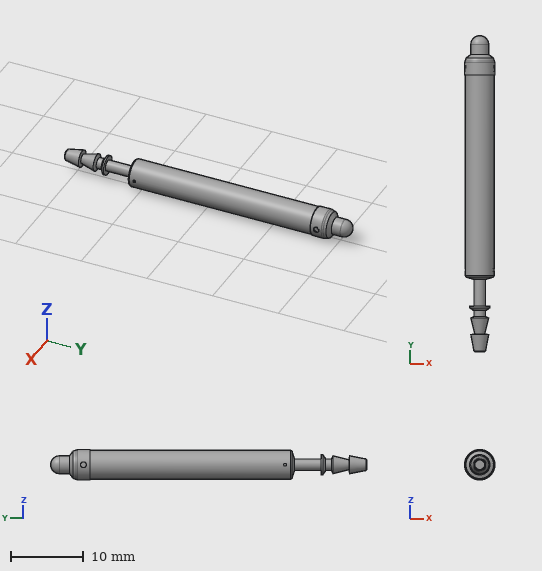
import cadquery as cq
import math

total_length = 43.5

plunger_radius = 1.25
plunger_exposed_length = 2.6

collar_radius = 2.1
steep_cone_radius = 1.9
steep_cone_end = 3.1
shallow_cone_radius = 2.02
shallow_cone_end = 3.47
collar_start = 3.73
collar_end = 5.43

barrel_radius = 2.0
barrel_cylinder_end = 33.0
barrel_chamfer_radius = 1.9
barrel_chamfer_end = 33.2
barrel_end = 33.57

tube_radius = 0.8
flange_radius = 1.4
flange_start = 37.2
flange_rim_width = 0.25
flange_foot_radius = 0.9
flange_length = 0.6

barb_radius = 1.25
barb_root_radius = 0.7
front_barb_lead_start = 38.6
front_barb_start = 38.85
rear_barb_start = 41.1
rear_barb_lead_start = rear_barb_start - 0.1
tail_radius = 0.82
tail_chamfer = 0.15

dimple_depth = 0.2
collar_dimple_diameter = 0.8
collar_dimple_position = 4.52
barrel_dimple_diameter = 0.4
barrel_dimple_position = 32.25


def at(radius, distance_from_tip):
    """Profile point in the XY plane at a radius and a distance behind the tip apex."""
    return (radius, total_length - distance_from_tip)


def make_body():
    dome_middle = math.sqrt(0.5) * plunger_radius
    flange_end = flange_start + flange_length
    profile = (
        cq.Workplane("XY")
        .moveTo(*at(0, 0))
        .threePointArc(
            at(dome_middle, plunger_radius - dome_middle),
            at(plunger_radius, plunger_radius),
        )
        .lineTo(*at(plunger_radius, plunger_exposed_length))
        .lineTo(*at(steep_cone_radius, steep_cone_end))
        .lineTo(*at(shallow_cone_radius, shallow_cone_end))
        .lineTo(*at(collar_radius, collar_start))
        .lineTo(*at(collar_radius, collar_end))
        .lineTo(*at(barrel_radius, collar_end))
        .lineTo(*at(barrel_radius, barrel_cylinder_end))
        .lineTo(*at(barrel_chamfer_radius, barrel_chamfer_end))
        .lineTo(*at(tube_radius, barrel_end))
        .lineTo(*at(tube_radius, flange_start))
        .lineTo(*at(flange_radius, flange_start))
        .lineTo(*at(flange_radius, flange_start + flange_rim_width))
        .lineTo(*at(flange_foot_radius, flange_end))
        .lineTo(*at(tube_radius, flange_end))
        .lineTo(*at(tube_radius, front_barb_lead_start))
        .lineTo(*at(barb_radius, front_barb_start))
        .lineTo(*at(barb_root_radius, rear_barb_lead_start))
        .lineTo(*at(barb_radius, rear_barb_start))
        .lineTo(*at(tail_radius, total_length - tail_chamfer))
        .lineTo(*at(tail_radius - tail_chamfer, total_length))
        .lineTo(*at(0, total_length))
        .close()
    )
    return profile.revolve(360, (0, 0, 0), (0, 1, 0))


def make_dimple(side, surface_radius, diameter, distance_from_tip):
    """Round cutter reaching inward from outside the surface; side is -1 or +1 along X."""
    floor = side * (surface_radius - dimple_depth)
    return (
        cq.Workplane("YZ", origin=(floor, total_length - distance_from_tip, 0))
        .circle(diameter / 2)
        .extrude(side * surface_radius)
    )


result = make_body()
for side in (-1, 1):
    result = result.cut(
        make_dimple(side, collar_radius, collar_dimple_diameter, collar_dimple_position)
    )
    result = result.cut(
        make_dimple(side, barrel_radius, barrel_dimple_diameter, barrel_dimple_position)
    )